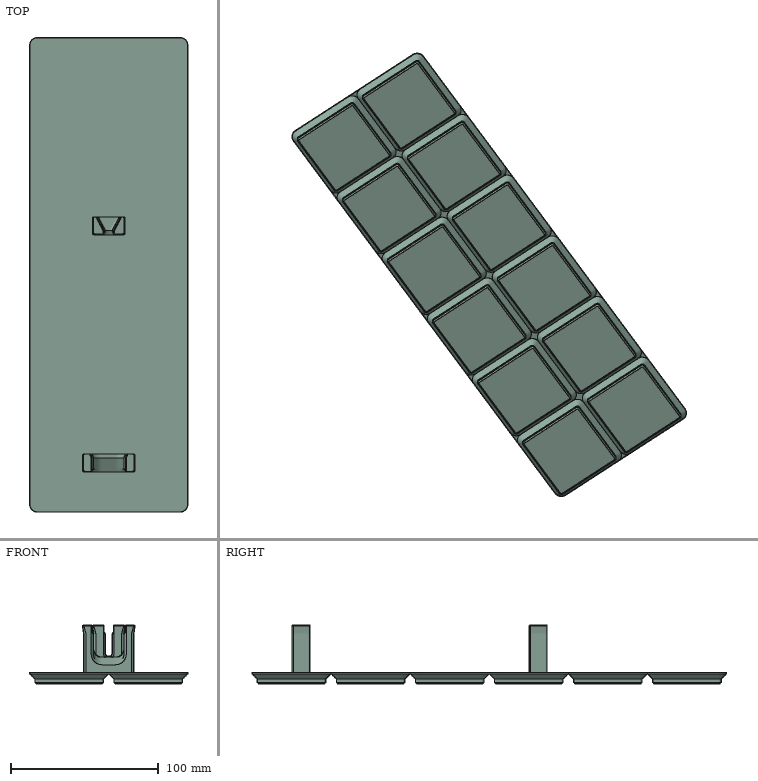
import cadquery as cq
import math

LENGTH = 321.5
ROWS = 6
COLUMNS = 2
PITCH = LENGTH / ROWS
WIDTH = COLUMNS * PITCH
BASE_HEIGHT = 7.7
CORNER_RADIUS = 5.0
FOOT_CHAMFER = 1.0
FOOT_STRAIGHT = 2.2
FOOT_BEVEL = 3.5
FOOT_HEIGHT = FOOT_CHAMFER + FOOT_STRAIGHT + FOOT_BEVEL

TOTAL_HEIGHT = 40.0
HOLDER_DEPTH = 12.2
HEAD_HEIGHT = 6.0
HEAD_Z = TOTAL_HEIGHT - HEAD_HEIGHT
HEAD_FLARE = 0.8
CORNER_X = 1.5
HEAD_CORNER_X = 1.0
CORNER_Y = 1.0
REAR_RADIUS = 1.0
RIM_CHAMFER = 0.5
RIM_Z = TOTAL_HEIGHT - RIM_CHAMFER
LARGE_REAR_Y = -121.5
HOLDER_SPACING = 3 * PITCH
SMALL_REAR_Y = LARGE_REAR_Y + HOLDER_SPACING
SLOT_FLARE = 1.0
SLOT_FLARE_Z = HEAD_Z + 1.3

LARGE_HALF_WIDTH = 17.0
LARGE_FLAT = 4.5
LARGE_FRONT_FLOOR = 13.0
LARGE_REAR_FLOOR = 18.0
LARGE_NECK = 2.5
LARGE_THROAT = 10.0
FLOOR_SLOPE = (LARGE_REAR_FLOOR - LARGE_FRONT_FLOOR) / (HOLDER_DEPTH - LARGE_NECK)
THROAT_FLOOR = LARGE_FRONT_FLOOR + FLOOR_SLOPE * (HOLDER_DEPTH - LARGE_THROAT)
LARGE_MOUTH_HALF = 12.0
LARGE_NECK_HALF = 10.3
LARGE_REAR_HALF = 11.2
NECK_RADIUS = LARGE_NECK_HALF - LARGE_FLAT
LARGE_SLOT = [
    (HOLDER_DEPTH, LARGE_MOUTH_HALF, LARGE_FRONT_FLOOR, LARGE_MOUTH_HALF - LARGE_FLAT),
    (LARGE_THROAT, LARGE_NECK_HALF, THROAT_FLOOR, NECK_RADIUS),
    (LARGE_NECK, LARGE_NECK_HALF, LARGE_REAR_FLOOR, NECK_RADIUS),
    (0, LARGE_REAR_HALF, LARGE_REAR_FLOOR, NECK_RADIUS),
]

SMALL_HALF_WIDTH = 10.3
SMALL_SLOT = [
    (HOLDER_DEPTH, 3.5, 17.0, 3.2),
    (9.3, 2.2, 18.5, 2.0),
    (0, 7.0, 18.5, 1.0),
]


def rounded_block(size, radius, height, z, taper=0):
    """Square block with rounded corners, optionally widening upwards."""
    outline = cq.Sketch().rect(size, size).vertices().fillet(radius)
    return cq.Workplane("XY").workplane(offset=z).placeSketch(outline).extrude(height, taper=taper)


def make_foot():
    """One foot: small chamfer, upright band and wide bevel, from the bottom up."""
    band_size = PITCH - 2 * FOOT_BEVEL
    band_radius = CORNER_RADIUS - FOOT_BEVEL
    tip_size = band_size - 2 * FOOT_CHAMFER
    tip_radius = band_radius - FOOT_CHAMFER
    bevel_z = FOOT_CHAMFER + FOOT_STRAIGHT
    tip = rounded_block(tip_size, tip_radius, FOOT_CHAMFER, 0, taper=-45)
    band = rounded_block(band_size, band_radius, FOOT_STRAIGHT, FOOT_CHAMFER)
    bevel = rounded_block(band_size, band_radius, FOOT_BEVEL, bevel_z, taper=-45)
    return tip.union(band).union(bevel)


def make_base():
    base = (
        cq.Workplane("XY")
        .workplane(offset=FOOT_HEIGHT)
        .rect(WIDTH, LENGTH)
        .extrude(BASE_HEIGHT - FOOT_HEIGHT)
        .edges("|Z")
        .fillet(CORNER_RADIUS)
    )
    foot = make_foot()
    for column in range(COLUMNS):
        for row in range(ROWS):
            x = (column - (COLUMNS - 1) / 2) * PITCH
            y = (row - (ROWS - 1) / 2) * PITCH
            base = base.union(foot.translate((x, y, 0)))
    return base


def holder_outline(half_width, depth, corner_x, z):
    """Holder footprint with its rear face at Y = 0: chamfered front and rounded rear corners."""
    x = half_width
    arc_inset = REAR_RADIUS * (1 - math.sqrt(0.5))
    return (
        cq.Workplane("XY", origin=(0, 0, z))
        .moveTo(-x + corner_x, -depth)
        .lineTo(x - corner_x, -depth)
        .lineTo(x, -depth + CORNER_Y)
        .lineTo(x, -REAR_RADIUS)
        .threePointArc((x - arc_inset, -arc_inset), (x - REAR_RADIUS, 0))
        .lineTo(-x + REAR_RADIUS, 0)
        .threePointArc((-x + arc_inset, -arc_inset), (-x, -REAR_RADIUS))
        .lineTo(-x, -depth + CORNER_Y)
        .close()
        .val()
    )


def loft(*wires):
    """Solid with straight sides running through the given closed wires."""
    return cq.Workplane(cq.Solid.makeLoft(list(wires), True))


def holder_block(half_width):
    """Upright block whose head leans outwards along X and ends in a chamfered rim."""
    head_width = half_width + HEAD_FLARE
    return loft(
        holder_outline(half_width, HOLDER_DEPTH, CORNER_X, BASE_HEIGHT),
        holder_outline(half_width, HOLDER_DEPTH, CORNER_X, HEAD_Z),
        holder_outline(head_width, HOLDER_DEPTH, HEAD_CORNER_X, RIM_Z),
        holder_outline(head_width - RIM_CHAMFER, HOLDER_DEPTH - RIM_CHAMFER, HEAD_CORNER_X, TOTAL_HEIGHT),
    )


def slot_section(depth, half_width, floor, radius):
    """U-shaped slot section, upright, at the given distance from the rear face."""
    flat = half_width - radius
    shoulder = floor + radius
    arc_inset = radius * (1 - math.sqrt(0.5))
    return (
        cq.Workplane("XZ", origin=(0, -depth, 0))
        .moveTo(-half_width, TOTAL_HEIGHT)
        .lineTo(-half_width, shoulder)
        .threePointArc((-half_width + arc_inset, floor + arc_inset), (-flat, floor))
        .lineTo(flat, floor)
        .threePointArc((half_width - arc_inset, floor + arc_inset), (half_width, shoulder))
        .lineTo(half_width, TOTAL_HEIGHT)
        .close()
        .val()
    )


def slot_plan(sections, widening, z):
    """Slot outline seen from above, widened on each side but not beyond the mouth."""
    mouth = sections[0][1]
    right = [(mouth, -HOLDER_DEPTH)]
    for depth, half_width, _, _ in sections[1:]:
        right.append((half_width + widening, -depth))
    left = [(-x, y) for x, y in reversed(right)]
    return cq.Workplane("XY", origin=(0, 0, z)).polyline(right + left).close().val()


def make_holder(half_width, slot_sections, rear_y):
    """Cradle with a slot that narrows from the front to a neck and opens again to the rear."""
    slot = loft(*[slot_section(*section) for section in slot_sections])
    head_slot = loft(
        slot_plan(slot_sections, 0, HEAD_Z),
        slot_plan(slot_sections, SLOT_FLARE, SLOT_FLARE_Z),
        slot_plan(slot_sections, SLOT_FLARE, RIM_Z),
        slot_plan(slot_sections, SLOT_FLARE + RIM_CHAMFER, TOTAL_HEIGHT),
    )
    holder = holder_block(half_width).cut(slot).cut(head_slot)
    return holder.translate((0, rear_y, 0))


base = make_base()
large_holder = make_holder(LARGE_HALF_WIDTH, LARGE_SLOT, LARGE_REAR_Y)
small_holder = make_holder(SMALL_HALF_WIDTH, SMALL_SLOT, SMALL_REAR_Y)

result = cq.Compound.makeCompound([base.val(), large_holder.val(), small_holder.val()])